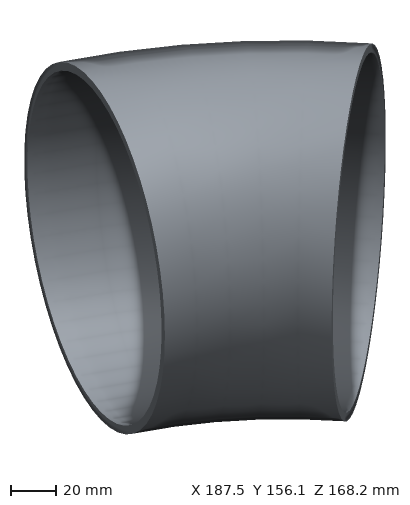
import cadquery as cq
import math

overall_width = 187.5
bend_radius = 228.0
bend_angle = 30.0
wall = 4.0

bend_cosine = math.cos(math.radians(bend_angle))
outer_radius = (overall_width - bend_radius * (1 - bend_cosine)) / (1 + bend_cosine)
inner_radius = outer_radius - wall

axis_start = (bend_radius, 0)
axis_end = (bend_radius, -1)

result = (
    cq.Workplane("XZ")
    .circle(outer_radius)
    .circle(inner_radius)
    .revolve(bend_angle, axis_start, axis_end)
)